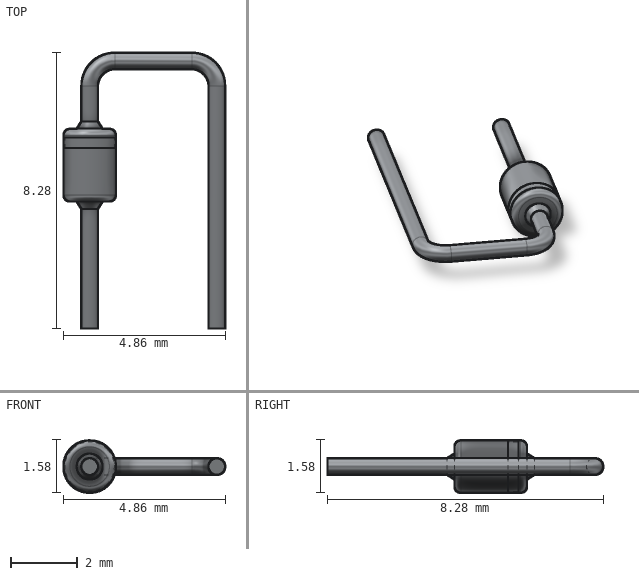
import cadquery as cq

overall_length = 8.28
lead_pitch = 3.82
lead_diameter = 0.505
bend_radius = 0.75
lead_radius = lead_diameter / 2

housing_diameter = 1.58
housing_length = 2.19
housing_start = 3.81
end_fillet = 0.2
housing_radius = housing_diameter / 2
housing_end = housing_start + housing_length

band_width = 0.31
band_thickness = 0.05
band_setback = 0.265
band_end = housing_end - band_setback
band_start = band_end - band_width

collar_length = 0.215
collar_radius = 0.39


def axial_cylinder(radius, start, length):
    """Solid cylinder on the housing axis, running toward +Y from start."""
    return cq.Workplane("XZ", origin=(0, start, 0)).circle(radius).extrude(-length)


def make_band():
    outer = axial_cylinder(housing_radius, band_start, band_width)
    core = axial_cylinder(housing_radius - band_thickness, band_start, band_width)
    return outer.cut(core)


def make_housing(band):
    """Rounded cylinder with a groove that holds the band."""
    blank = axial_cylinder(housing_radius, housing_start, housing_length)
    return blank.faces("<Y or >Y").edges().fillet(end_fillet).cut(band)


def make_collar(face_y, direction):
    """Cone from the housing face down to the lead; direction is +1 or -1 along Y."""
    tip_y = face_y + direction * collar_length
    return (
        cq.Workplane("XY")
        .moveTo(0, face_y)
        .lineTo(collar_radius, face_y)
        .lineTo(lead_radius, tip_y)
        .lineTo(0, tip_y)
        .close()
        .revolve(360, (0, 0, 0), (0, 1, 0))
    )


def make_straight_lead():
    wire = axial_cylinder(lead_radius, 0, housing_start)
    return wire.union(make_collar(housing_start, -1))


def make_bent_lead():
    """Lead that leaves the rear face, turns twice and runs back beside the housing."""
    top_y = overall_length - lead_radius
    bend_y = top_y - bend_radius
    path = (
        cq.Workplane("XY")
        .moveTo(0, housing_end)
        .lineTo(0, bend_y)
        .tangentArcPoint((bend_radius, top_y), relative=False)
        .lineTo(lead_pitch - bend_radius, top_y)
        .tangentArcPoint((lead_pitch, bend_y), relative=False)
        .lineTo(lead_pitch, 0)
    )
    section = cq.Workplane("XZ", origin=(0, housing_end, 0)).circle(lead_radius)
    return section.sweep(path).union(make_collar(housing_end, 1))


band = make_band()
housing = make_housing(band)
straight_lead = make_straight_lead()
bent_lead = make_bent_lead()

result = cq.Compound.makeCompound(
    [housing.val(), band.val(), straight_lead.val(), bent_lead.val()]
)